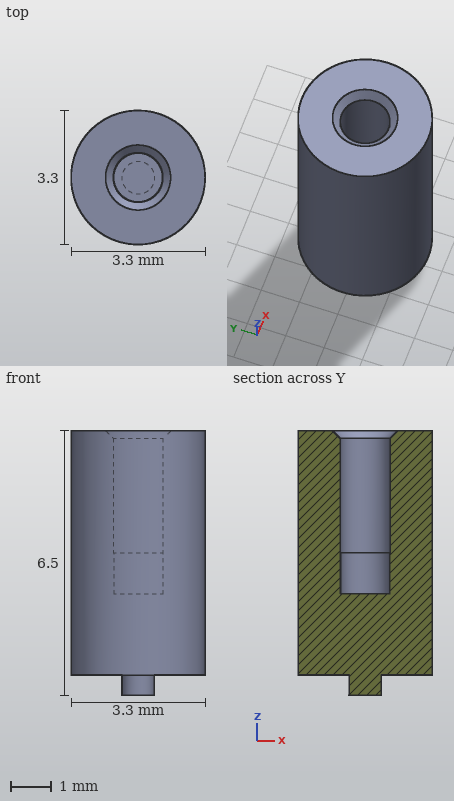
import cadquery as cq

body_diameter = 3.3
body_height = 6.0
pin_diameter = 0.8
pin_length = 0.5
lead_in_diameter = 1.6
upper_bore_diameter = 1.22
lower_bore_diameter = 1.2
upper_bore_depth = 3.0
socket_depth = 4.0

lead_in_depth = (lead_in_diameter - upper_bore_diameter) / 2


def make_body():
    """Round body standing on the XY plane."""
    return cq.Workplane("XY").circle(body_diameter / 2).extrude(body_height)


def make_pin():
    """Short contact pin below the body."""
    return cq.Workplane("XY").circle(pin_diameter / 2).extrude(-pin_length)


def make_bore(diameter, depth):
    """Straight round bore running down from the top face of the body."""
    top = cq.Workplane("XY", origin=(0, 0, body_height))
    return top.circle(diameter / 2).extrude(-depth)


def make_lead_in():
    """Cone widening from the upper bore to the top face."""
    cone_base = cq.Workplane("XY", origin=(0, 0, body_height - lead_in_depth))
    return (
        cone_base.circle(upper_bore_diameter / 2)
        .workplane(offset=lead_in_depth)
        .circle(lead_in_diameter / 2)
        .loft()
    )


def make_socket():
    """Blind socket: conical lead-in, upper bore, then a slightly narrower lower bore."""
    upper_bore = make_bore(upper_bore_diameter, upper_bore_depth)
    lower_bore = make_bore(lower_bore_diameter, socket_depth)
    return lower_bore.union(upper_bore).union(make_lead_in())


result = make_body().union(make_pin()).cut(make_socket())